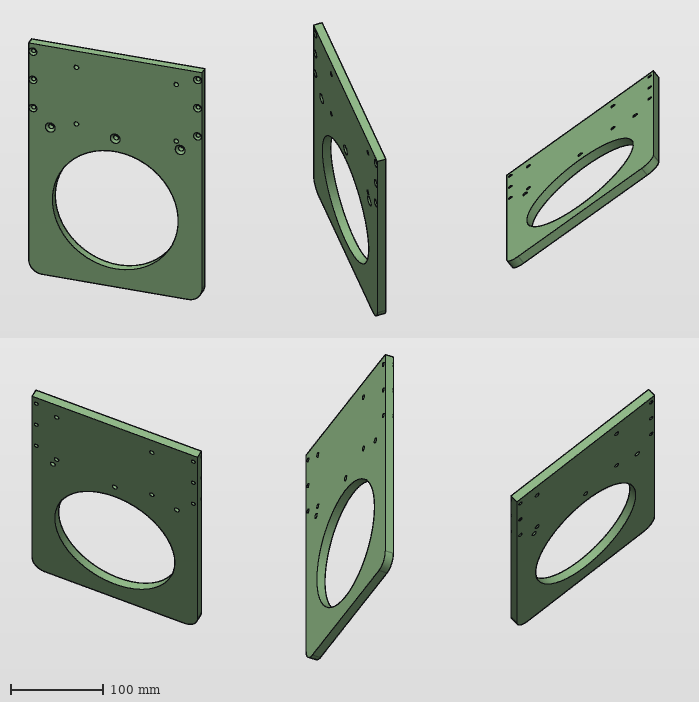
import cadquery as cq

width = 200.0
thickness = 10.0
height = 283.5
corner_radius = 16.0

opening_diameter = 145.0
opening_above_bottom = 95.0

edge_hole_diameter = 4.5
edge_sink_diameter = 9.0
edge_hole_inset = 5.0
edge_hole_top_gap = 10.0
edge_hole_pitch = 35.0
edge_hole_rows = 3

row_hole_diameter = 5.7
row_sink_diameter = 11.3
row_hole_spacing = 74.8
row_below_top = 100.0

plain_hole_diameter = 5.0
plain_hole_columns = (-44.8, 70.3)
plain_hole_top_gap = 20.0
plain_hole_pitch = 70.0

sink_angle = 90.0

top = height / 2
bottom = -height / 2

edge_hole_x = width / 2 - edge_hole_inset
edge_points = [
    (side * edge_hole_x, top - edge_hole_top_gap - row * edge_hole_pitch)
    for side in (-1, 1)
    for row in range(edge_hole_rows)
]
row_points = [(step * row_hole_spacing, top - row_below_top) for step in (-1, 0, 1)]
plain_points = [
    (x, top - plain_hole_top_gap - row * plain_hole_pitch)
    for x in plain_hole_columns
    for row in (0, 1)
]


def front_face(body, points):
    """Select points given as (X, Z) on the front face."""
    return body.faces("<Y").workplane(origin=(0, -thickness / 2, 0)).pushPoints(points)


plate = cq.Workplane("XY").box(width, thickness, height)
plate = plate.faces("<Z").edges("|Y").fillet(corner_radius)

plate = front_face(plate, [(0, bottom + opening_above_bottom)]).hole(opening_diameter)
plate = front_face(plate, plain_points).hole(plain_hole_diameter)
plate = front_face(plate, edge_points).cskHole(edge_hole_diameter, edge_sink_diameter, sink_angle)
plate = front_face(plate, row_points).cskHole(row_hole_diameter, row_sink_diameter, sink_angle)

result = plate